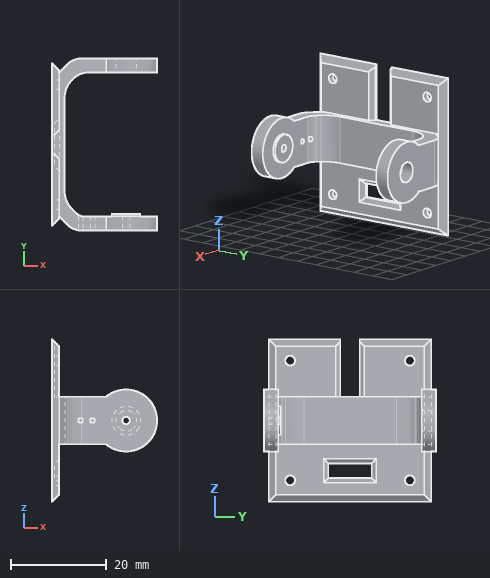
import cadquery as cq
import math

PLATE_SIDE = 34.0
PLATE_THICKNESS = 1.5
SCREW_HOLE_DIAMETER = 2.0
SCREW_HOLE_SPACING = 25.0

STRAIGHT_DEPTH = 0.5
FLARE = PLATE_THICKNESS - STRAIGHT_DEPTH
NOTCH_WIDTH = 4.0
WINDOW_WIDTH = 9.0
WINDOW_HEIGHT = 3.0
WINDOW_CENTER_Z = -10.5

BRACKET_WIDTH = 36.0
BRACKET_HEIGHT = 10.0
ARM_THICKNESS = 3.0
WALL_INNER_X = 2.67
OUTER_BEND_RADIUS = 4.0
WALL_BEND_RADIUS = 5.5
RIGHT_ARM_BEND_RADIUS = 2.5
LEFT_ARM_BEND_RADIUS = 4.5

HUB_RADIUS = 6.5
HUB_CENTER_X = 15.5
BEARING_HOLE_DIAMETER = 4.3
AXLE_HOLE_DIAMETER = 1.5
PAD_DIAMETER = 6.0
PAD_HEIGHT = 0.5

PIN_HOLE_DIAMETER = 1.0
PIN_HOLE_XS = (6.0, 8.5)

HALF_SIDE = PLATE_SIDE / 2
ARM_OUTER_Y = BRACKET_WIDTH / 2
ARM_INNER_Y = ARM_OUTER_Y - ARM_THICKNESS
COS_45 = math.cos(math.radians(45))
TAN_22_5 = math.tan(math.radians(22.5))


def flared_opening(width, height, center_z):
    """Cutter for a rectangular plate opening that widens on every side towards the back."""
    face = cq.Workplane("YZ").center(0, center_z)
    straight = face.rect(width, height).extrude(PLATE_THICKNESS)
    flare = (
        face.workplane(offset=STRAIGHT_DEPTH)
        .rect(width, height)
        .workplane(offset=FLARE)
        .rect(width + 2 * FLARE, height + 2 * FLARE)
        .loft(ruled=True)
    )
    return straight.union(flare)


def flared_notch(bottom_z):
    """Cutter for the notch open at the top edge, with flaring sides and a flat bottom."""
    half_width = NOTCH_WIDTH / 2
    back_half_width = half_width + FLARE
    return (
        cq.Workplane("XY", origin=(0, 0, bottom_z))
        .moveTo(0, -half_width)
        .lineTo(STRAIGHT_DEPTH, -half_width)
        .lineTo(PLATE_THICKNESS, -back_half_width)
        .lineTo(PLATE_THICKNESS, back_half_width)
        .lineTo(STRAIGHT_DEPTH, half_width)
        .lineTo(0, half_width)
        .close()
        .extrude(HALF_SIDE - bottom_z)
    )


def make_plate():
    plate = (
        cq.Workplane("YZ")
        .rect(PLATE_SIDE, PLATE_SIDE)
        .workplane(offset=PLATE_THICKNESS)
        .rect(PLATE_SIDE - 2 * PLATE_THICKNESS, PLATE_SIDE - 2 * PLATE_THICKNESS)
        .loft(ruled=True)
    )
    screw_holes = (
        cq.Workplane("YZ")
        .rect(SCREW_HOLE_SPACING, SCREW_HOLE_SPACING, forConstruction=True)
        .vertices()
        .circle(SCREW_HOLE_DIAMETER / 2)
        .extrude(PLATE_THICKNESS)
    )
    plate = plate.cut(screw_holes)
    plate = plate.cut(flared_notch(BRACKET_HEIGHT / 2))
    return plate.cut(flared_opening(WINDOW_WIDTH, WINDOW_HEIGHT, WINDOW_CENTER_Z))


def make_bracket():
    """U-shaped strip from the back of the plate to the arm axis, with bevelled and rounded corners."""
    flank_end_y = ARM_INNER_Y
    outer_corner_x = PLATE_THICKNESS + ARM_OUTER_Y - flank_end_y
    bend_end_x = outer_corner_x + OUTER_BEND_RADIUS * TAN_22_5
    bend_start_x = bend_end_x - OUTER_BEND_RADIUS * COS_45
    bend_start_y = ARM_OUTER_Y - OUTER_BEND_RADIUS * (1 - COS_45)
    bend_mid_angle = math.radians(22.5)
    bend_mid_x = bend_end_x - OUTER_BEND_RADIUS * math.sin(bend_mid_angle)
    bend_mid_y = ARM_OUTER_Y - OUTER_BEND_RADIUS * (1 - math.cos(bend_mid_angle))

    inner_flank_offset = PLATE_THICKNESS - flank_end_y + ARM_THICKNESS / COS_45
    wall_corner_y = WALL_INNER_X - inner_flank_offset
    arm_corner_x = inner_flank_offset + ARM_INNER_Y
    wall_tangent = WALL_BEND_RADIUS * TAN_22_5
    right_tangent = RIGHT_ARM_BEND_RADIUS * TAN_22_5
    left_tangent = LEFT_ARM_BEND_RADIUS * TAN_22_5

    outline = (
        cq.Workplane("XY", origin=(0, 0, -BRACKET_HEIGHT / 2))
        .moveTo(PLATE_THICKNESS, -flank_end_y)
        .lineTo(bend_start_x, -bend_start_y)
        .threePointArc((bend_mid_x, -bend_mid_y), (bend_end_x, -ARM_OUTER_Y))
        .lineTo(HUB_CENTER_X, -ARM_OUTER_Y)
        .lineTo(HUB_CENTER_X, -ARM_INNER_Y)
        .lineTo(arm_corner_x + right_tangent, -ARM_INNER_Y)
        .tangentArcPoint(
            (arm_corner_x - right_tangent * COS_45, -ARM_INNER_Y + right_tangent * COS_45), relative=False
        )
        .lineTo(WALL_INNER_X + wall_tangent * COS_45, -wall_corner_y - wall_tangent * COS_45)
        .tangentArcPoint((WALL_INNER_X, -wall_corner_y + wall_tangent), relative=False)
        .lineTo(WALL_INNER_X, wall_corner_y - wall_tangent)
        .tangentArcPoint(
            (WALL_INNER_X + wall_tangent * COS_45, wall_corner_y + wall_tangent * COS_45), relative=False
        )
        .lineTo(arm_corner_x - left_tangent * COS_45, ARM_INNER_Y - left_tangent * COS_45)
        .tangentArcPoint((arm_corner_x + left_tangent, ARM_INNER_Y), relative=False)
        .lineTo(HUB_CENTER_X, ARM_INNER_Y)
        .lineTo(HUB_CENTER_X, ARM_OUTER_Y)
        .lineTo(bend_end_x, ARM_OUTER_Y)
        .threePointArc((bend_mid_x, bend_mid_y), (bend_start_x, bend_start_y))
        .lineTo(PLATE_THICKNESS, flank_end_y)
        .close()
    )
    return outline.extrude(BRACKET_HEIGHT)


def cylinder_along_y(diameter, center_x, start_y, length):
    """Cylinder running from start_y towards +Y at mid height."""
    base = cq.Workplane("XZ", origin=(center_x, start_y, 0))
    return base.circle(diameter / 2).extrude(-length)


bracket = make_bracket()
for hub_start_y in (-ARM_OUTER_Y, ARM_INNER_Y):
    bracket = bracket.union(cylinder_along_y(2 * HUB_RADIUS, HUB_CENTER_X, hub_start_y, ARM_THICKNESS))

bracket = bracket.union(cylinder_along_y(PAD_DIAMETER, HUB_CENTER_X, -ARM_INNER_Y, PAD_HEIGHT))
bracket = bracket.cut(
    cylinder_along_y(AXLE_HOLE_DIAMETER, HUB_CENTER_X, -ARM_OUTER_Y, ARM_THICKNESS + PAD_HEIGHT)
)
bracket = bracket.cut(cylinder_along_y(BEARING_HOLE_DIAMETER, HUB_CENTER_X, ARM_INNER_Y, ARM_THICKNESS))

for pin_x in PIN_HOLE_XS:
    bracket = bracket.cut(
        cylinder_along_y(PIN_HOLE_DIAMETER, pin_x, -ARM_OUTER_Y, 2 * ARM_THICKNESS)
    )

result = make_plate().union(bracket)